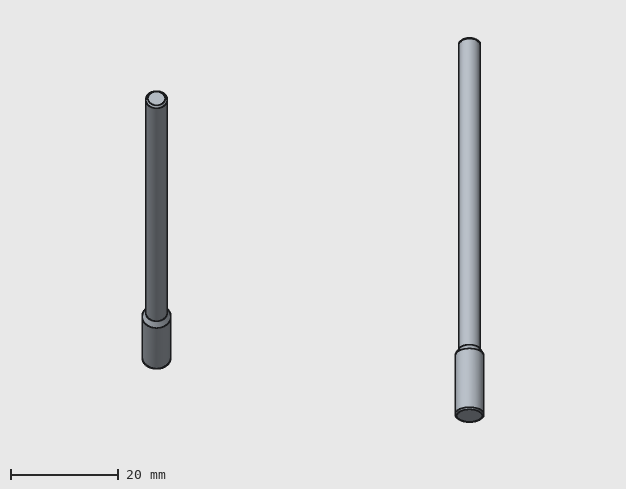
import cadquery as cq

total_length = 80.0

head_diameter = 5.4
head_length = 14.1
shoulder_height = 1.2
head_chamfer = 0.3

shank_diameter = 4.0
shank_chamfer = 0.4
shank_length = total_length - head_length


def make_head():
    """Turned head, chamfered at the bottom and tapering to the shank diameter at the top."""
    head_radius = head_diameter / 2
    shank_radius = shank_diameter / 2
    return (
        cq.Workplane("XZ")
        .moveTo(0, 0)
        .lineTo(head_radius - head_chamfer, 0)
        .lineTo(head_radius, head_chamfer)
        .lineTo(head_radius, head_length - shoulder_height)
        .lineTo(shank_radius, head_length)
        .lineTo(0, head_length)
        .close()
        .revolve(360, (0, 0, 0), (0, 1, 0))
    )


def make_shank():
    """Plain rod resting on the head, with a chamfered top edge."""
    return (
        cq.Workplane("XY")
        .workplane(offset=head_length)
        .circle(shank_diameter / 2)
        .extrude(shank_length)
        .faces(">Z")
        .chamfer(shank_chamfer)
    )


head = make_head()
shank = make_shank()

result = cq.Compound.makeCompound([head.val(), shank.val()])